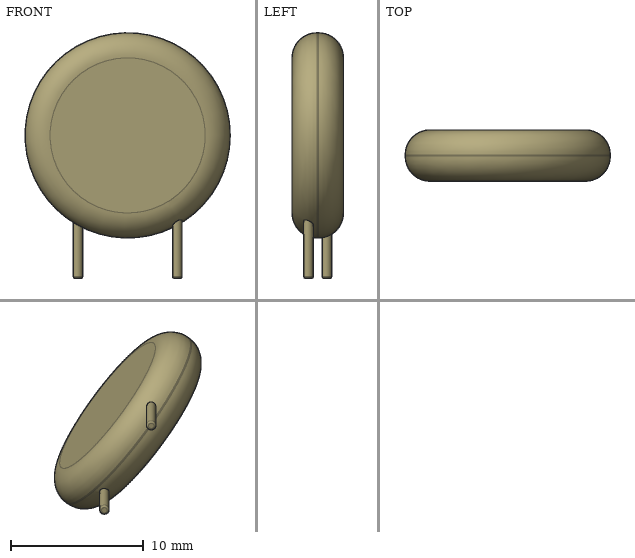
import cadquery as cq

total_height = 18.53
disc_diameter = 15.5
disc_thickness = 3.9
rim_land = 0.1
rim_radius = (disc_thickness - rim_land) / 2

lead_diameter = 0.72
lead_pitch = 7.49
lead_stagger = 1.39
lead_tip_round = 0.15
lead_top = -disc_diameter / 4
lead_bottom = disc_diameter / 2 - total_height


def make_disc():
    """Upright disc with deeply rounded rim and flat faces."""
    disc = cq.Workplane("XZ").circle(disc_diameter / 2).extrude(disc_thickness / 2, both=True)
    return disc.faces("<Y or >Y").edges().fillet(rim_radius)


def make_lead(side):
    """Vertical lead on side -1 or +1, ending inside the disc."""
    x = side * lead_pitch / 2
    y = -side * lead_stagger / 2
    lead = (
        cq.Workplane("XY", origin=(x, y, lead_bottom))
        .circle(lead_diameter / 2)
        .extrude(lead_top - lead_bottom)
    )
    return lead.faces("<Z").edges().fillet(lead_tip_round)


result = make_disc()
for side in (-1, 1):
    result = result.union(make_lead(side))